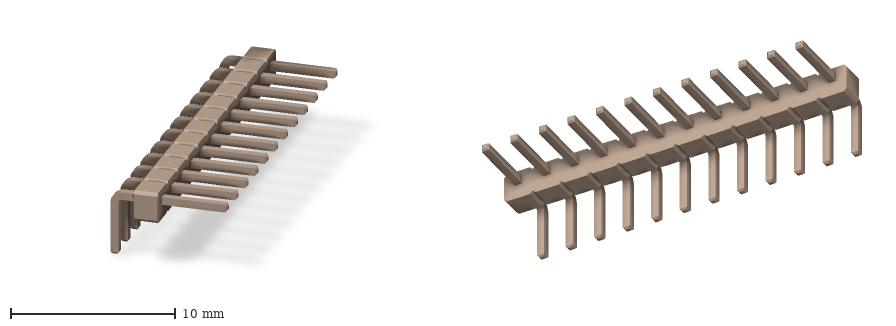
import cadquery as cq


pin_count = 12
row_length = 24.0
body_width = 1.5
body_height = 2.0
body_offset = 1.73
body_chamfer = 0.2
pin_size = 0.5
pin_reach = 7.45
overall_height = 4.65
pin_below_top = 0.5
bend_inner_radius = 0.25
tip_chamfer = 0.12

pitch = row_length / pin_count
pin_drop = overall_height - pin_below_top
bend_outer_radius = bend_inner_radius + pin_size
body_center_x = body_offset + body_width / 2
body_center_z = pin_below_top - body_height / 2


def make_block(y):
    """One body block, chamfered along its four X edges."""
    return (
        cq.Workplane("XY")
        .box(body_width, pitch, body_height)
        .edges("|X")
        .chamfer(body_chamfer)
        .translate((body_center_x, y, body_center_z))
    )


def make_pin(y):
    """One square pin with a rounded right-angle bend and chamfered ends."""
    pin = (
        cq.Workplane("XZ")
        .moveTo(0, 0)
        .lineTo(pin_reach, 0)
        .lineTo(pin_reach, -pin_size)
        .lineTo(pin_size, -pin_size)
        .lineTo(pin_size, -pin_drop)
        .lineTo(0, -pin_drop)
        .close()
        .extrude(pin_size / 2, both=True)
    )
    outer_corner = cq.selectors.NearestToPointSelector((0, 0, 0))
    inner_corner = cq.selectors.NearestToPointSelector((pin_size, 0, -pin_size))
    pin = pin.edges("|Y").edges(outer_corner).fillet(bend_outer_radius)
    pin = pin.edges("|Y").edges(inner_corner).fillet(bend_inner_radius)
    pin = pin.faces(">X").chamfer(tip_chamfer)
    pin = pin.faces("<Z").chamfer(tip_chamfer)
    return pin.translate((0, y, 0))


result = cq.Workplane("XY")
for index in range(pin_count):
    row_position = (index + 0.5) * pitch - row_length / 2
    result = result.add(make_block(row_position)).add(make_pin(row_position))
result = result.combine()